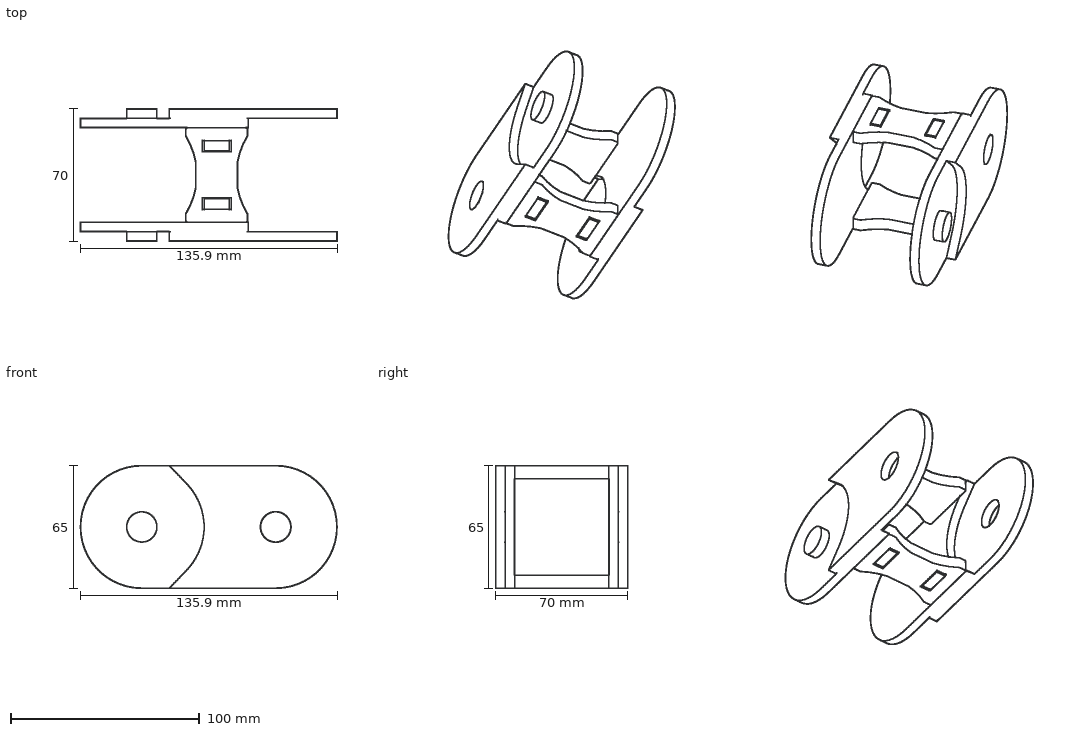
import cadquery as cq
import math


link_height = 65.0
link_width = 70.0
overall_length = 135.89
plate_thickness = 5.0
end_radius = link_height / 2
pitch = overall_length - link_height
pivot_diameter = 16.0
step_clearance = 0.5
step_radius = end_radius + step_clearance
step_corner_offset = 14.5

outer_face = link_width / 2
joint_face = outer_face - plate_thickness
inner_face = joint_face - plate_thickness

bar_thickness = 7.0
bar_end_width = 32.8
bar_waist_width = 22.3
bar_waist_half_length = 7.0
bar_shoulder_y = 20.6
bar_side_radius = 40.0
bar_corner_fillet = 1.0
bar_center_x = 39.6
bar_bottom = end_radius - bar_thickness

catch_width = 13.3
catch_length = 5.5
catch_outer_y = 18.2
arm_thickness = 3.0
catch_side_gap = 1.0
catch_tip_gap = 0.5
arm_bottom = bar_bottom + (bar_thickness - arm_thickness) / 2
arm_top = arm_bottom + arm_thickness
catch_tip_y = catch_outer_y - catch_length


def step_outline(pivot_x, direction, far_x):
    """Plate outline from a concave step around a pivot to a straight far edge."""
    corner_distance = math.hypot(step_corner_offset, end_radius)
    corner_angle = math.atan2(end_radius, step_corner_offset)
    tangent_angle = corner_angle - math.acos(step_radius / corner_distance)
    tangent_x = pivot_x + direction * step_radius * math.cos(tangent_angle)
    tangent_z = step_radius * math.sin(tangent_angle)
    corner_x = pivot_x + direction * step_corner_offset
    return (
        cq.Workplane("XZ")
        .moveTo(far_x, end_radius)
        .lineTo(corner_x, end_radius)
        .lineTo(tangent_x, tangent_z)
        .threePointArc((pivot_x + direction * step_radius, 0), (tangent_x, -tangent_z))
        .lineTo(corner_x, -end_radius)
        .lineTo(far_x, -end_radius)
        .close()
    )


def disc(pivot_x, diameter, y_start):
    """Disc one plate thickness deep, from y_start towards +Y."""
    circle = cq.Workplane("XZ", origin=(pivot_x, y_start, 0)).circle(diameter / 2)
    return circle.extrude(-plate_thickness)


def box_between(x_center, width, y_range, z_range):
    """Box centred on x_center that fills the given Y and Z ranges."""
    y_size = y_range[1] - y_range[0]
    z_size = z_range[1] - z_range[0]
    box = cq.Workplane("XY").box(width, y_size, z_size, centered=(True, False, False))
    return box.translate((x_center, y_range[0], z_range[0]))


def snap_shape(width, tip_y):
    """L-shaped arm and hook that run from the plate into the upper crossbar."""
    arm = box_between(bar_center_x, width, (tip_y, inner_face), (arm_bottom, arm_top))
    hook = box_between(bar_center_x, width, (tip_y, catch_outer_y), (arm_bottom, end_radius))
    return arm.union(hook)


def make_side_plate():
    """Side plate on the +Y side, with its pin, pivot hole and two snap catches."""
    inner_half = step_outline(pitch, -1, 0).extrude(-plate_thickness)
    inner_half = inner_half.translate((0, inner_face, 0))
    inner_half = inner_half.union(disc(0, link_height, inner_face))

    outer_half = step_outline(0, 1, pitch).extrude(-plate_thickness)
    outer_half = outer_half.translate((0, joint_face, 0))
    outer_half = outer_half.union(disc(pitch, link_height, joint_face))
    outer_half = outer_half.cut(disc(pitch, pivot_diameter, joint_face))

    pin = disc(0, pivot_diameter, joint_face)
    catch = snap_shape(catch_width, catch_tip_y)
    return inner_half.union(outer_half).union(pin).union(catch).union(catch.mirror("XY"))


def make_crossbar():
    """Upper crossbar: waisted plate with a snap socket at each end."""
    waist_x = bar_waist_width / 2
    end_x = bar_end_width / 2
    bar = (
        cq.Workplane("XY", origin=(bar_center_x, 0, bar_bottom))
        .moveTo(waist_x, -bar_waist_half_length)
        .lineTo(waist_x, bar_waist_half_length)
        .radiusArc((end_x, bar_shoulder_y), bar_side_radius)
        .lineTo(end_x, inner_face)
        .lineTo(-end_x, inner_face)
        .lineTo(-end_x, bar_shoulder_y)
        .radiusArc((-waist_x, bar_waist_half_length), bar_side_radius)
        .lineTo(-waist_x, -bar_waist_half_length)
        .radiusArc((-end_x, -bar_shoulder_y), bar_side_radius)
        .lineTo(-end_x, -inner_face)
        .lineTo(end_x, -inner_face)
        .lineTo(end_x, -bar_shoulder_y)
        .radiusArc((waist_x, -bar_waist_half_length), bar_side_radius)
        .close()
        .extrude(bar_thickness)
    )

    for side in (1, -1):
        end_region = cq.selectors.BoxSelector(
            (bar_center_x - bar_end_width, side * catch_outer_y, 0),
            (bar_center_x + bar_end_width, side * joint_face, link_height),
        )
        bar = bar.edges("|Z").edges(end_region).fillet(bar_corner_fillet)

    socket = snap_shape(catch_width + 2 * catch_side_gap, catch_tip_y - catch_tip_gap)
    return bar.cut(socket).cut(socket.mirror("XZ"))


side_plate = make_side_plate()
crossbar = make_crossbar()
side_plates = [side_plate, side_plate.mirror("XZ")]
crossbars = [crossbar, crossbar.mirror("XY")]

result = cq.Compound.makeCompound([body.val() for body in side_plates + crossbars])